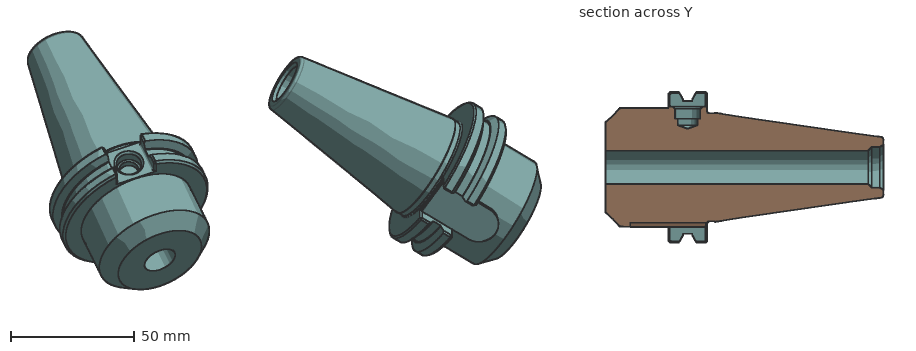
import cadquery as cq
import math

TOLERANCE = 0.01

TOTAL_LENGTH = 112.7
TAPER_LENGTH = 68.3
FLANGE_START = 71.5
FLANGE_WIDTH = 15.9
FLANGE_END = FLANGE_START + FLANGE_WIDTH

GAUGE_DIAMETER = 44.4
TAPER_PER_LENGTH = 7 / 24
SMALL_END_DIAMETER = GAUGE_DIAMETER - TAPER_LENGTH * TAPER_PER_LENGTH
SMALL_END_FILLET = 1.2
COLLAR_DIAMETER = 44.0
COLLAR_FILLET = 0.7

FLANGE_DIAMETER = 63.6
FLANGE_FRONT_CHAMFER = 0.7
FLANGE_BACK_CHAMFER = 0.9
GROOVE_DIAMETER = 56.2
GROOVE_FLOOR_WIDTH = 3.7
GROOVE_WALL_HEIGHT = 0.6
GROOVE_INCLUDED_ANGLE = 60.0
GROOVE_CENTER = FLANGE_START + FLANGE_WIDTH / 2

NOSE_DIAMETER = 48.2
NOSE_CHAMFER = 5.9

BORE_DIAMETER = 13.4
PILOT_DIAMETER = 16.5
PILOT_DEPTH = 4.7
PILOT_MOUTH_FLARE = 0.9
PILOT_MOUTH_DEPTH = 1.5

SLOT_WIDTH = 15.9
SLOT_EDGE_CHAMFER = 0.8
UPPER_SLOT_FLOOR = 24.6
LOWER_SLOT_FLOOR = 22.7
UPPER_SLOT_FILLET = 0.5
SLOT_END_CENTER = 94.5

HOLE_DIAMETER = 10.1
HOLE_MOUTH_CHAMFER = 0.9
HOLE_DEPTH = 4.8
TIP_DIAMETER = 8.0
TIP_DEPTH = 7.4
TIP_ANGLE = 140.0

KEY_RECESS = 0.6
KEY_START = FLANGE_START + KEY_RECESS
KEY_BOTTOM = 24.2


def turned_blank():
    """Solid of revolution about X: taper, collar, plain flange and nose."""
    small_radius = SMALL_END_DIAMETER / 2
    gauge_radius = GAUGE_DIAMETER / 2
    collar_radius = COLLAR_DIAMETER / 2
    flange_radius = FLANGE_DIAMETER / 2
    nose_radius = NOSE_DIAMETER / 2
    profile = (
        cq.Workplane("XY")
        .lineTo(0, small_radius)
        .lineTo(TAPER_LENGTH, gauge_radius)
        .lineTo(TAPER_LENGTH + gauge_radius - collar_radius, collar_radius)
        .lineTo(FLANGE_START - COLLAR_FILLET, collar_radius)
        .radiusArc((FLANGE_START, collar_radius + COLLAR_FILLET), -COLLAR_FILLET)
        .lineTo(FLANGE_START, flange_radius - FLANGE_FRONT_CHAMFER)
        .lineTo(FLANGE_START + FLANGE_FRONT_CHAMFER, flange_radius)
        .lineTo(FLANGE_END - FLANGE_BACK_CHAMFER, flange_radius)
        .lineTo(FLANGE_END, flange_radius - FLANGE_BACK_CHAMFER)
        .lineTo(FLANGE_END, nose_radius)
        .lineTo(TOTAL_LENGTH - NOSE_CHAMFER, nose_radius)
        .lineTo(TOTAL_LENGTH, nose_radius - NOSE_CHAMFER)
        .lineTo(TOTAL_LENGTH, 0)
        .close()
    )
    blank = profile.revolve(360, (0, 0, 0), (1, 0, 0))
    return blank.faces("<X").edges().fillet(SMALL_END_FILLET)


def groove_cutter():
    """Ring with a short straight wall below each sloping flank, which leaves the groove around the flange."""
    flange_radius = FLANGE_DIAMETER / 2
    groove_radius = GROOVE_DIAMETER / 2
    floor_half = GROOVE_FLOOR_WIDTH / 2
    wall_radius = groove_radius + GROOVE_WALL_HEIGHT
    flank_run = (flange_radius - wall_radius) * math.tan(math.radians(GROOVE_INCLUDED_ANGLE / 2))
    mouth_half = floor_half + flank_run
    profile = (
        cq.Workplane("XY")
        .moveTo(GROOVE_CENTER - mouth_half, flange_radius)
        .lineTo(GROOVE_CENTER - floor_half, wall_radius)
        .lineTo(GROOVE_CENTER - floor_half, groove_radius)
        .lineTo(GROOVE_CENTER + floor_half, groove_radius)
        .lineTo(GROOVE_CENTER + floor_half, wall_radius)
        .lineTo(GROOVE_CENTER + mouth_half, flange_radius)
        .close()
    )
    return profile.revolve(360, (0, 0, 0), (1, 0, 0))


def bore_cutter():
    """Through bore with a wider, flared pilot at the small end of the taper."""
    bore_radius = BORE_DIAMETER / 2
    pilot_radius = PILOT_DIAMETER / 2
    profile = (
        cq.Workplane("XY")
        .lineTo(0, pilot_radius + PILOT_MOUTH_FLARE)
        .lineTo(PILOT_MOUTH_DEPTH, pilot_radius)
        .lineTo(PILOT_DEPTH, pilot_radius)
        .lineTo(PILOT_DEPTH + pilot_radius - bore_radius, bore_radius)
        .lineTo(TOTAL_LENGTH, bore_radius)
        .lineTo(TOTAL_LENGTH, 0)
        .close()
    )
    return profile.revolve(360, (0, 0, 0), (1, 0, 0))


def upper_slot_cutter():
    """Straight slot over the flange."""
    slot = cq.Workplane("XY").box(
        FLANGE_WIDTH, SLOT_WIDTH, FLANGE_DIAMETER, centered=(False, True, False)
    )
    return slot.translate((FLANGE_START, 0, UPPER_SLOT_FLOOR))


def round_ended_bar(start, bottom, top):
    """Bar as wide as the drive slots, flat at `start` and half round at its other end."""
    half_width = SLOT_WIDTH / 2
    return (
        cq.Workplane("XY", origin=(0, 0, bottom))
        .moveTo(start, -half_width)
        .lineTo(SLOT_END_CENTER, -half_width)
        .threePointArc((SLOT_END_CENTER + half_width, 0), (SLOT_END_CENTER, half_width))
        .lineTo(start, half_width)
        .close()
        .extrude(top - bottom)
    )


def lower_slot_cutter():
    """Deeper slot that passes under the flange and runs out into the nose."""
    return round_ended_bar(FLANGE_START, -FLANGE_DIAMETER, -LOWER_SLOT_FLOOR)


def slot_wall_edges(body):
    """Outer edges of the four slot walls: along both flange faces and over the rim."""
    half_width = SLOT_WIDTH / 2
    outer_edges = []
    for edge in body.edges().vals():
        box = edge.BoundingBox()
        in_wall = box.ylen < TOLERANCE and abs(abs(edge.Center().y) - half_width) < TOLERANCE
        if in_wall and abs(edge.Center().z) > UPPER_SLOT_FLOOR + TOLERANCE:
            outer_edges.append(edge)
    return outer_edges


def upper_floor_corners(body):
    """Long edges where the walls of the upper slot meet its floor."""
    corner_edges = []
    for edge in body.edges("|X").vals():
        if abs(edge.Center().z - UPPER_SLOT_FLOOR) < TOLERANCE:
            corner_edges.append(edge)
    return corner_edges


def hole_cutter():
    """Chamfered blind hole going down from the upper slot floor, stepping to a smaller pointed end."""
    hole_radius = HOLE_DIAMETER / 2
    tip_radius = TIP_DIAMETER / 2
    shoulder = UPPER_SLOT_FLOOR - HOLE_DEPTH
    cone_start = UPPER_SLOT_FLOOR - TIP_DEPTH
    cone_depth = tip_radius / math.tan(math.radians(TIP_ANGLE / 2))
    profile = (
        cq.Workplane("XZ")
        .moveTo(0, UPPER_SLOT_FLOOR)
        .lineTo(hole_radius + HOLE_MOUTH_CHAMFER, UPPER_SLOT_FLOOR)
        .lineTo(hole_radius, UPPER_SLOT_FLOOR - HOLE_MOUTH_CHAMFER)
        .lineTo(hole_radius, shoulder)
        .lineTo(tip_radius, shoulder)
        .lineTo(tip_radius, cone_start)
        .lineTo(0, cone_start - cone_depth)
        .close()
    )
    return profile.revolve(360, (0, 0, 0), (0, 1, 0)).translate((GROOVE_CENTER, 0, 0))


def make_holder():
    """Tapered tool holder with its drive slots, bore and blind hole."""
    body = turned_blank().cut(upper_slot_cutter()).cut(lower_slot_cutter())
    body = body.newObject(slot_wall_edges(body)).chamfer(SLOT_EDGE_CHAMFER)
    body = body.newObject(upper_floor_corners(body)).fillet(UPPER_SLOT_FILLET)
    return body.cut(groove_cutter()).cut(bore_cutter()).cut(hole_cutter())


def make_key():
    """Key lying on the floor of the lower slot."""
    return round_ended_bar(KEY_START, -KEY_BOTTOM, -LOWER_SLOT_FLOOR)


holder = make_holder()
key = make_key()
result = cq.Compound.makeCompound([holder.val(), key.val()])